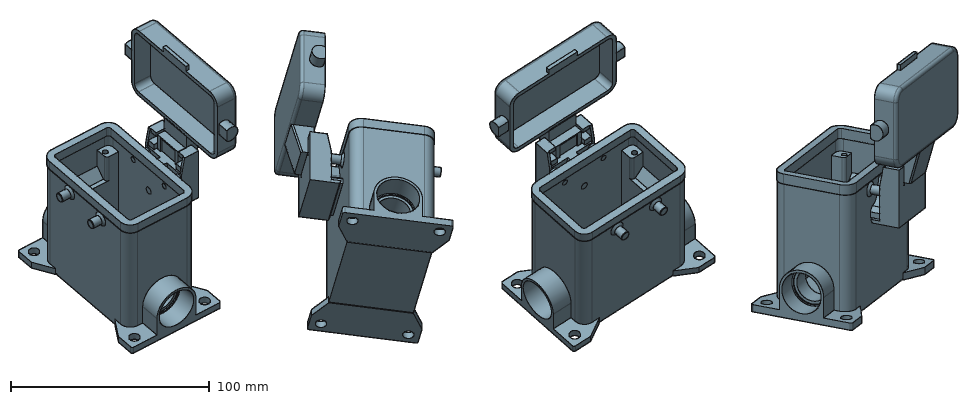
import cadquery as cq
import math

FOOT_X = 46.8
FOOT_Y = 28.4
FOOT_HEIGHT = 4.0
FOOT_SHOULDER_X = 35.6
FOOT_TAPER_ANGLE = 30
FOOT_CORNER_RADIUS = 1.0
FOOT_HOLE_DIAMETER = 5.7
FOOT_HOLE_X = 41.1
FOOT_HOLE_Y = 22.4

BODY_X = 35.1
BODY_Y = 21.7
BODY_RADIUS = 6.1
BODY_BOTTOM = 0.5
HOUSING_TOP = 73.0
RIM_BOTTOM = 67.5
RIM_PROUD = 0.3

CAVITY_X = 32.2
CAVITY_Y = 18.7
CAVITY_RADIUS = 3.0
FLOOR_TOP = 4.0
MOUTH_X = 31.3
MOUTH_Y = 17.8
MOUTH_RADIUS = 1.6
ROOT_OVERLAP = 0.7

PILLAR_INNER_X = 24.6
PILLAR_INNER_Y = 11.0
PILLAR_TOP = 60.3
PILLAR_RADIUS = 1.7
SCREW_HOLE_X = 28.6
SCREW_HOLE_Y = 13.4
SCREW_HOLE_DIAMETER = 2.9
SCREW_HOLE_DEPTH = 13.2

RAMP_TOP = 49.5
RAMP_BOTTOM = 44.3
RAMP_INNER_X = 27.2

CABLE_Z = 15.1
CABLE_BOSS_RADIUS = 12.5
CABLE_BORE_RADIUS = 11.0
CABLE_BORE_DEPTH = 11.3
CABLE_STEP_RADIUS = 10.2
CABLE_STEP_DEPTH = 0.8
CABLE_HOLE_RADIUS = 8.6

PEG_X = 12.7
PEG_Z = 63.3
PEG_RADIUS = 2.5
PEG_CHAMFER = 0.3
PEG_CONE_RADIUS = 4.0
PEG_CONE_LENGTH = 1.2
STUD_RADIUS = 1.6
RIVET_RADIUS = 2.0
RIVET_Z = 51.4

BRACKET_X = 14.8
BRACKET_FRONT = 28.1
BRACKET_BACK = 39.0
BRACKET_BOTTOM = 46.0
BRACKET_TOP = 77.5
BRACKET_TOP_FRONT = 30.1
BRACKET_BEVEL_Z = 66.9
CHEEK_THICKNESS = 1.5
BRACKET_LIP_FRONT = 23.0
BRACKET_LIP_BEVEL = 0.8

STEP_FRONT = 29.0
STEP_Z = 70.4
BLOCK_FRONT = 30.5
BLOCK_UNDERSIDE = 75.0
UNDERCUT_BACK = 34.5

KNUCKLE_X = 8.5
KNUCKLE_TOP = 76.6
KNUCKLE_FRONT = 30.9
RECESS_X = 5.8
RECESS_TOP = 75.8
RECESS_DEPTH = 0.8

PAD_BOTTOM = 47.8
PAD_X = 12.7
PAD_SIDE_TOP = 50.9
PAD_SHOULDER_X = 10.5
PAD_SHOULDER_Z = 53.4
PAD_NECK_BOTTOM_X = 5.2
PAD_NECK_BOTTOM = 59.0
PAD_NECK_TOP_X = 2.8

LID_X = 35.1
LID_BOTTOM = 85.7
LID_TOP = 129.5
LID_FRONT = 35.1
LID_BACK = 47.8
LID_RADIUS = 6.4
LID_BACK_FILLET = 1.9
LID_WALL = 2.5
LID_CAVITY_RADIUS = 3.2

LID_LIP_X = 9.4
LID_LIP_TOP = 132.5
LID_LIP_BACK = 37.1

LID_PEG_X = 41.6
LID_PEG_Y = 38.8
LID_PEG_Z = 107.7
LID_PEG_RADIUS = 4.4
LID_PEG_FLAT_Y = 36.2

TONGUE_X = 9.0
TONGUE_FRONT = 35.6
TONGUE_BACK_TOP = 47.7
TONGUE_BACK_TOP_Z = 87.5
TONGUE_BACK_BOTTOM = 42.4
TONGUE_BOTTOM = 68.5
TONGUE_BACK_CHAMFER = 0.8


def box(x0, x1, y0, y1, z0, z1):
    """Axis-aligned block between two opposite corners."""
    return cq.Workplane("XY").box(x1 - x0, y1 - y0, z1 - z0, centered=False).translate((x0, y0, z0))


def rounded_block(half_x, half_y, z0, z1, radius):
    """Upright block centred on the Z axis with rounded vertical edges."""
    return box(-half_x, half_x, -half_y, half_y, z0, z1).edges("|Z").fillet(radius)


def along_x(points, x0, x1):
    """Extrude a (y, z) outline from x0 to x1."""
    return cq.Workplane("YZ", origin=(x0, 0, 0)).polyline(points).close().extrude(x1 - x0)


def rod_along_y(x, z, y0, y1, radius):
    """Cylinder running in +Y from y0 to y1."""
    return cq.Workplane("XY").add(
        cq.Solid.makeCylinder(radius, y1 - y0, cq.Vector(x, y0, z), cq.Vector(0, 1, 0)))


def mirrored_pair(shape):
    """The shape together with its mirror image across the YZ plane."""
    return shape.union(shape.mirror("YZ"))


def front_peg(x):
    """Chamfered locking peg on a conical root, pointing in -Y from the front wall."""
    profile = [
        (0, CAVITY_Y - BODY_Y),
        (PEG_CONE_RADIUS, CAVITY_Y - BODY_Y),
        (PEG_CONE_RADIUS, 0),
        (PEG_RADIUS, PEG_CONE_LENGTH),
        (PEG_RADIUS, FOOT_Y - BODY_Y - PEG_CHAMFER),
        (PEG_RADIUS - PEG_CHAMFER, FOOT_Y - BODY_Y),
        (0, FOOT_Y - BODY_Y),
    ]
    turned = cq.Workplane("XY").polyline(profile).close().revolve(360, (0, 0, 0), (0, 1, 0))
    return turned.rotate((0, 0, 0), (0, 0, 1), 180).translate((x, -BODY_Y, PEG_Z))


def rear_peg(x):
    """Plain peg on a conical root, running in +Y from the rear wall to the bracket."""
    profile = [
        (0, 0),
        (PEG_CONE_RADIUS, 0),
        (PEG_RADIUS, PEG_CONE_LENGTH),
        (PEG_RADIUS, BRACKET_FRONT - BODY_Y),
        (0, BRACKET_FRONT - BODY_Y),
    ]
    turned = cq.Workplane("XY").polyline(profile).close().revolve(360, (0, 0, 0), (0, 1, 0))
    return turned.translate((x, BODY_Y, PEG_Z))


def wall_shanks():
    """Shanks that pass through the rear wall and end flush with its inner face."""
    shanks = rod_along_y(0, RIVET_Z, CAVITY_Y, BODY_Y, RIVET_RADIUS)
    for x in (-PEG_X, PEG_X):
        shanks = shanks.union(rod_along_y(x, PEG_Z, CAVITY_Y, BODY_Y, STUD_RADIUS))
    return shanks


def housing_foot():
    """Mounting foot on the +X end, tapering into the long walls."""
    taper_run = (FOOT_Y - BODY_Y) / math.tan(math.radians(FOOT_TAPER_ANGLE))
    root_x = FOOT_SHOULDER_X - taper_run
    outline = [
        (root_x, BODY_Y), (FOOT_SHOULDER_X, FOOT_Y), (FOOT_X, FOOT_Y),
        (FOOT_X, -FOOT_Y), (FOOT_SHOULDER_X, -FOOT_Y), (root_x, -BODY_Y),
    ]
    foot = cq.Workplane("XY").polyline(outline).close().extrude(FOOT_HEIGHT)
    foot = foot.edges("|Z and >X").fillet(FOOT_CORNER_RADIUS)
    holes = (
        cq.Workplane("XY")
        .pushPoints([(FOOT_HOLE_X, FOOT_HOLE_Y), (FOOT_HOLE_X, -FOOT_HOLE_Y)])
        .circle(FOOT_HOLE_DIAMETER / 2)
        .extrude(FOOT_HEIGHT)
    )
    return foot.cut(holes)


def cable_boss():
    """Round-topped boss for the cable entry on the +X end."""
    length = FOOT_X - CAVITY_X
    round_top = (
        cq.Workplane("YZ", origin=(CAVITY_X, 0, 0))
        .center(0, CABLE_Z)
        .circle(CABLE_BOSS_RADIUS)
        .extrude(length)
    )
    base = box(CAVITY_X, FOOT_X, -CABLE_BOSS_RADIUS, CABLE_BOSS_RADIUS, FOOT_HEIGHT / 2, CABLE_Z)
    return round_top.union(base)


def cable_entry_cutter():
    """Stepped bore from the +X end followed by a smaller hole into the cavity."""
    bore_end = FOOT_X - CABLE_BORE_DEPTH
    step_end = bore_end - CABLE_STEP_DEPTH
    profile = [
        (0, 0),
        (0, CABLE_HOLE_RADIUS),
        (step_end, CABLE_HOLE_RADIUS),
        (step_end, CABLE_STEP_RADIUS),
        (bore_end, CABLE_STEP_RADIUS),
        (bore_end, CABLE_BORE_RADIUS),
        (FOOT_X, CABLE_BORE_RADIUS),
        (FOOT_X, 0),
    ]
    cutter = cq.Workplane("XY").polyline(profile).close().revolve(360, (0, 0, 0), (1, 0, 0))
    return cutter.translate((0, 0, CABLE_Z))


def end_wall_thickening():
    """Ramp-topped thick wall behind the +X cable entry."""
    outline = [
        (CAVITY_X + ROOT_OVERLAP, FLOOR_TOP), (PILLAR_INNER_X, FLOOR_TOP),
        (PILLAR_INNER_X, RAMP_BOTTOM), (RAMP_INNER_X, RAMP_BOTTOM),
        (CAVITY_X, RAMP_TOP), (CAVITY_X + ROOT_OVERLAP, RAMP_TOP),
    ]
    return (
        cq.Workplane("XZ", origin=(0, CAVITY_Y, 0))
        .polyline(outline)
        .close()
        .extrude(2 * CAVITY_Y)
    )


def corner_pillar(side_y):
    """Screw pillar in the +X corner of the cavity on the chosen Y side."""
    pillar = box(
        PILLAR_INNER_X, CAVITY_X + ROOT_OVERLAP, PILLAR_INNER_Y, CAVITY_Y + ROOT_OVERLAP,
        FLOOR_TOP, PILLAR_TOP)
    pillar = pillar.edges("|Z and <X and <Y").fillet(PILLAR_RADIUS)
    hole = (
        cq.Workplane("XY", origin=(SCREW_HOLE_X, SCREW_HOLE_Y, PILLAR_TOP - SCREW_HOLE_DEPTH))
        .circle(SCREW_HOLE_DIAMETER / 2)
        .extrude(SCREW_HOLE_DEPTH)
    )
    pillar = pillar.cut(hole)
    return pillar if side_y > 0 else pillar.mirror("XZ")


def make_housing():
    walls = rounded_block(BODY_X, BODY_Y, BODY_BOTTOM, HOUSING_TOP, BODY_RADIUS)
    rim = rounded_block(
        BODY_X + RIM_PROUD, BODY_Y + RIM_PROUD, RIM_BOTTOM, HOUSING_TOP, BODY_RADIUS + RIM_PROUD)
    shell = walls.union(rim).union(mirrored_pair(housing_foot()))
    shell = shell.union(mirrored_pair(cable_boss()))

    cavity = rounded_block(CAVITY_X, CAVITY_Y, FLOOR_TOP, RIM_BOTTOM, CAVITY_RADIUS)
    mouth = rounded_block(MOUTH_X, MOUTH_Y, RIM_BOTTOM, HOUSING_TOP, MOUTH_RADIUS)
    shell = shell.cut(cavity).cut(mouth)

    shell = shell.union(mirrored_pair(end_wall_thickening()))
    for side_y in (-1, 1):
        shell = shell.union(mirrored_pair(corner_pillar(side_y)))
    shell = shell.cut(mirrored_pair(cable_entry_cutter()))

    for x in (-PEG_X, PEG_X):
        shell = shell.union(front_peg(x))
    return shell.cut(wall_shanks())


def lid_shell():
    """Open tray with rounded corners facing -Y."""
    tray = box(-LID_X, LID_X, LID_FRONT, LID_BACK, LID_BOTTOM, LID_TOP)
    tray = tray.edges("|Y").fillet(LID_RADIUS).faces(">Y").edges().fillet(LID_BACK_FILLET)
    cavity = box(
        LID_WALL - LID_X, LID_X - LID_WALL, LID_FRONT, LID_BACK - LID_WALL,
        LID_BOTTOM + LID_WALL, LID_TOP - LID_WALL)
    return tray.cut(cavity.edges("|Y").fillet(LID_CAVITY_RADIUS))


def lid_peg():
    """Latch peg on the +X end of the lid, flattened on its -Y side."""
    start_x = LID_X - LID_WALL / 2
    peg = (
        cq.Workplane("YZ", origin=(start_x, LID_PEG_Y, LID_PEG_Z))
        .circle(LID_PEG_RADIUS)
        .extrude(LID_PEG_X - start_x)
    )
    flat = box(
        start_x, LID_PEG_X, LID_PEG_Y - LID_PEG_RADIUS, LID_PEG_FLAT_Y,
        LID_PEG_Z - LID_PEG_RADIUS, LID_PEG_Z + LID_PEG_RADIUS)
    return peg.cut(flat)


def lid_tongue():
    """Tapered tongue that joins the lid to the hinge bracket."""
    outline = [
        (TONGUE_FRONT, LID_BOTTOM + LID_WALL / 2), (TONGUE_FRONT, TONGUE_BOTTOM),
        (TONGUE_BACK_BOTTOM, TONGUE_BOTTOM), (TONGUE_BACK_TOP, TONGUE_BACK_TOP_Z),
        (LID_BACK - LID_WALL / 2, TONGUE_BACK_TOP_Z),
    ]
    tongue = along_x(outline, -TONGUE_X, TONGUE_X)
    sloped_back = cq.selectors.NearestToPointSelector(
        (0, (TONGUE_BACK_BOTTOM + TONGUE_BACK_TOP) / 2, (TONGUE_BOTTOM + TONGUE_BACK_TOP_Z) / 2))
    return tongue.faces(sloped_back).edges("not |X").chamfer(TONGUE_BACK_CHAMFER)


def bracket_cheek():
    """Bevelled side plate of the bracket on the +X side."""
    outline = [
        (BRACKET_BACK, BRACKET_BOTTOM), (BRACKET_BACK, BRACKET_TOP),
        (BRACKET_TOP_FRONT, BRACKET_TOP), (BRACKET_FRONT, BRACKET_BEVEL_Z),
        (BRACKET_FRONT, BRACKET_BOTTOM),
    ]
    return along_x(outline, BRACKET_X - CHEEK_THICKNESS, BRACKET_X)


def bracket_side_block():
    """Stepped, undercut block between the +X cheek and the tongue."""
    outline = [
        (BRACKET_BACK, BRACKET_BOTTOM), (BRACKET_BACK, BRACKET_TOP),
        (BLOCK_FRONT, BRACKET_TOP), (BLOCK_FRONT, BLOCK_UNDERSIDE),
        (UNDERCUT_BACK, BLOCK_UNDERSIDE), (UNDERCUT_BACK, STEP_Z),
        (STEP_FRONT, STEP_Z), (STEP_FRONT, BRACKET_BEVEL_Z),
        (BRACKET_FRONT, BRACKET_BEVEL_Z), (BRACKET_FRONT, BRACKET_BOTTOM),
    ]
    return along_x(outline, TONGUE_X, BRACKET_X - CHEEK_THICKNESS)


def bracket_centre():
    """Body of the bracket under the tongue, and the recessed knuckle in front of it."""
    base = box(-TONGUE_X, TONGUE_X, BRACKET_FRONT, BRACKET_BACK, BRACKET_BOTTOM, BRACKET_BEVEL_Z)
    knuckle = along_x(
        [
            (KNUCKLE_FRONT, BRACKET_BEVEL_Z), (KNUCKLE_FRONT, KNUCKLE_TOP),
            (TONGUE_FRONT, KNUCKLE_TOP), (TONGUE_FRONT, TONGUE_BOTTOM),
            (BRACKET_BACK, TONGUE_BOTTOM), (BRACKET_BACK, BRACKET_BEVEL_Z),
        ],
        -KNUCKLE_X, KNUCKLE_X)
    recess = box(
        -RECESS_X, RECESS_X, KNUCKLE_FRONT, KNUCKLE_FRONT + RECESS_DEPTH, BRACKET_BEVEL_Z, RECESS_TOP)
    return base.union(knuckle.cut(recess))


def bracket_lip():
    """Shelf along the bottom of the bracket that reaches under the pad."""
    outline = [
        (BRACKET_BACK, BRACKET_BOTTOM), (BRACKET_BACK, PAD_BOTTOM),
        (BRACKET_LIP_FRONT, PAD_BOTTOM), (BRACKET_LIP_FRONT + BRACKET_LIP_BEVEL, BRACKET_BOTTOM),
    ]
    return along_x(outline, -BRACKET_X, BRACKET_X)


def bracket_pad():
    """Bell-shaped spacer between the bracket and the rear wall."""
    arc_mid = math.sqrt(0.5)
    arc_x = PAD_SHOULDER_X - (PAD_SHOULDER_X - PAD_NECK_BOTTOM_X) * arc_mid
    arc_z = PAD_NECK_BOTTOM - (PAD_NECK_BOTTOM - PAD_SHOULDER_Z) * arc_mid
    return (
        cq.Workplane("XZ", origin=(0, BRACKET_FRONT, 0))
        .moveTo(-PAD_X, PAD_BOTTOM)
        .lineTo(PAD_X, PAD_BOTTOM)
        .lineTo(PAD_X, PAD_SIDE_TOP)
        .lineTo(PAD_SHOULDER_X, PAD_SHOULDER_Z)
        .threePointArc((arc_x, arc_z), (PAD_NECK_BOTTOM_X, PAD_NECK_BOTTOM))
        .lineTo(PAD_NECK_TOP_X, BRACKET_BEVEL_Z)
        .lineTo(-PAD_NECK_TOP_X, BRACKET_BEVEL_Z)
        .lineTo(-PAD_NECK_BOTTOM_X, PAD_NECK_BOTTOM)
        .threePointArc((-arc_x, arc_z), (-PAD_SHOULDER_X, PAD_SHOULDER_Z))
        .lineTo(-PAD_X, PAD_SIDE_TOP)
        .close()
        .extrude(BRACKET_FRONT - BODY_Y)
    )


def make_lid():
    lip = box(-LID_LIP_X, LID_LIP_X, LID_FRONT, LID_LIP_BACK, LID_TOP - LID_WALL, LID_LIP_TOP)
    lid = lid_shell().union(lip).union(mirrored_pair(lid_peg())).union(lid_tongue())

    lid = lid.union(bracket_centre()).union(bracket_lip()).union(bracket_pad())
    lid = lid.union(mirrored_pair(bracket_side_block()))
    lid = lid.union(mirrored_pair(bracket_cheek()))

    for x in (-PEG_X, PEG_X):
        lid = lid.union(rear_peg(x))
    return lid.union(wall_shanks())


housing = make_housing()
lid = make_lid()
result = cq.Compound.makeCompound([*housing.vals(), *lid.vals()])